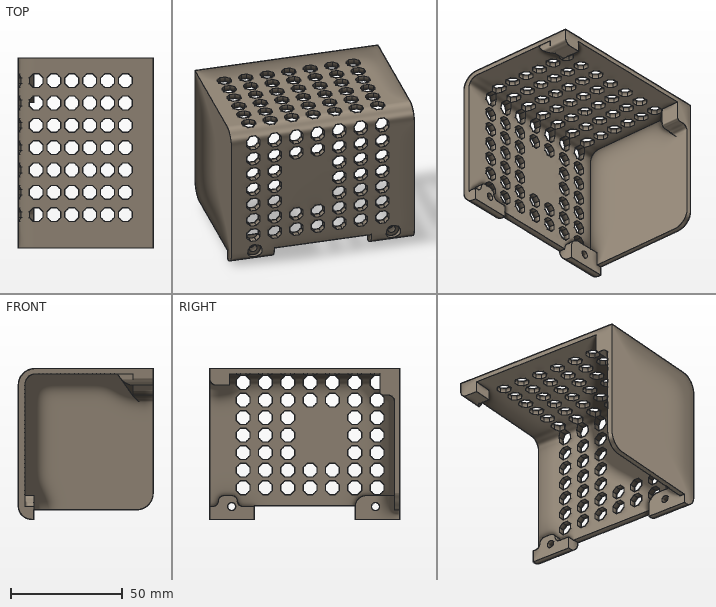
import cadquery as cq
import math

LENGTH = 60.5
WIDTH = 85.18
HEIGHT = 67.65

SIDE_THICKNESS = 3.0
TOP_THICKNESS = 2.4
BACK_THICKNESS = 2.4
BEND_RADIUS = 7.5
INNER_BEND_RADIUS = 5.0
BACK_BOTTOM = 4.3
BACK_CORNER_RADIUS = 7.5

FOOT_LENGTH = 20.0
FOOT_DEPTH = 7.0
FOOT_RADIUS = 6.1
FOOT_FLOOR = 5.8
FOOT_CREST = 10.7
HUMP_FLANK = 5.2
HUMP_START = 1.3

SCREW_DIAMETER = 3.5
SCREW_HEAD_DIAMETER = 6.7
SCREW_HEAD_DEPTH = 3.0
SCREW_HEIGHT = 5.8
FRONT_SCREW_Y = 9.85
BACK_SCREW_Y = WIDTH - 10.9

BOSS_LENGTH = 9.1
BOSS_WIDTH = 9.0
GUSSET_LENGTH = 7.0
GUSSET_HEIGHT = 9.9
FRONT_GUSSET_SETBACK = 0.05
FRONT_BOSS_DEPTH = 7.5
FRONT_BOSS_NOSE_RADIUS = 3.1
BACK_BOSS_DEPTH = 11.9
BACK_BOSS_NOSE_RADIUS = 1.7
BACK_BOSS_ROOT_RADIUS = 3.0

VENT_SIDES = 8
VENT_ACROSS_FLATS = 6.1
VENT_CUT_DEPTH = 8.0
VENT_COLUMNS = 7
VENT_COLUMN_PITCH = 10.0
LAST_VENT_Y = WIDTH - 10.2
TOP_VENT_ROWS = 6
TOP_VENT_PITCH = 8.0
FIRST_TOP_VENT_X = 8.0
SIDE_VENT_ROWS = 7
SIDE_VENT_PITCH = 7.85
FIRST_SIDE_VENT_DROP = 6.3
BLANK_COLUMNS = (2, 3)
BLANK_ROWS = (2, 3, 4)

BOSS_START = LENGTH - BOSS_LENGTH
TOP_UNDERSIDE = HEIGHT - TOP_THICKNESS


def circle_point(center, radius, degrees):
    """Point on a circle at an angle measured from its first axis."""
    angle = math.radians(degrees)
    return (center[0] + radius * math.cos(angle), center[1] + radius * math.sin(angle))


def box(x_range, y_range, z_range):
    """Axis-aligned block between pairs of low and high coordinates."""
    size = [high - low for low, high in (x_range, y_range, z_range)]
    corner = (x_range[0], y_range[0], z_range[0])
    return cq.Workplane("XY").box(*size, centered=False).translate(corner)


def make_panels():
    """Bent sheet forming the side and top panels."""
    side = box((0, SIDE_THICKNESS), (0, WIDTH), (FOOT_RADIUS, HEIGHT))
    top = box((0, LENGTH), (0, WIDTH), (TOP_UNDERSIDE, HEIGHT))
    panels = side.union(top)
    outer_bend = cq.selectors.NearestToPointSelector((0, WIDTH / 2, HEIGHT))
    panels = panels.edges(outer_bend).fillet(BEND_RADIUS)
    inner_bend = cq.selectors.NearestToPointSelector((SIDE_THICKNESS, WIDTH / 2, TOP_UNDERSIDE))
    return panels.edges(inner_bend).fillet(INNER_BEND_RADIUS)


def make_back_wall():
    """Flat wall closing the rear end, inside the side and top panels."""
    wall = box(
        (SIDE_THICKNESS, LENGTH),
        (WIDTH - BACK_THICKNESS, WIDTH),
        (BACK_BOTTOM, TOP_UNDERSIDE),
    )
    return wall.edges("|Y and >X and <Z").fillet(BACK_CORNER_RADIUS)


def foot_section():
    """Mask that rounds the outer lower edge of the feet."""
    section = box((0, FOOT_DEPTH), (0, WIDTH), (0, FOOT_CREST))
    return section.edges("|Y and <X and <Z").fillet(FOOT_RADIUS)


def finish_foot(profile, y_range):
    """Thicken a foot profile behind the panel, extend the panel down over it and round the corner."""
    foot = profile.extrude(FOOT_DEPTH)
    skirt = box((0, SIDE_THICKNESS), y_range, (0, FOOT_RADIUS))
    return foot.union(skirt).intersect(foot_section())


def hump_radius():
    """Radius shared by the crest and root arcs so that they meet tangentially."""
    rise = FOOT_CREST - FOOT_FLOOR
    return (rise**2 + HUMP_FLANK**2) / (4 * rise)


def make_front_foot():
    """Front foot: level floor with a rounded hump over the screw, blended by S-curves."""
    radius = hump_radius()
    crest_start = HUMP_START + HUMP_FLANK
    crest_end = FRONT_SCREW_Y
    hump_end = crest_end + HUMP_FLANK
    root_before = (HUMP_START, FOOT_FLOOR + radius)
    root_after = (hump_end, FOOT_FLOOR + radius)
    inflection_z = (FOOT_FLOOR + FOOT_CREST) / 2
    crest_z = FOOT_CREST - radius
    profile = (
        cq.Workplane("YZ")
        .lineTo(0, FOOT_FLOOR)
        .lineTo(HUMP_START, FOOT_FLOOR)
        .threePointArc(
            circle_point(root_before, radius, -45), (HUMP_START + HUMP_FLANK / 2, inflection_z)
        )
        .threePointArc(
            circle_point((crest_start, crest_z), radius, 135), (crest_start, FOOT_CREST)
        )
        .lineTo(crest_end, FOOT_CREST)
        .threePointArc(
            circle_point((crest_end, crest_z), radius, 45), (crest_end + HUMP_FLANK / 2, inflection_z)
        )
        .threePointArc(circle_point(root_after, radius, 225), (hump_end, FOOT_FLOOR))
        .lineTo(FOOT_LENGTH, FOOT_FLOOR)
        .lineTo(FOOT_LENGTH, 0)
        .close()
    )
    return finish_foot(profile, (0, FOOT_LENGTH))


def make_back_foot():
    """Rear foot: high land beside the back wall, rounded down to its inner end."""
    inner_end = WIDTH - FOOT_LENGTH
    radius = FOOT_CREST - FOOT_FLOOR
    crest_y = inner_end + radius
    profile = (
        cq.Workplane("YZ")
        .moveTo(WIDTH, 0)
        .lineTo(WIDTH, FOOT_CREST)
        .lineTo(crest_y, FOOT_CREST)
        .threePointArc(circle_point((crest_y, FOOT_FLOOR), radius, 135), (inner_end, FOOT_FLOOR))
        .lineTo(inner_end, 0)
        .close()
    )
    return finish_foot(profile, (inner_end, WIDTH))


def make_gusset(corner_y, toward_y):
    """Sloping support that runs from the boss end face into the corner under the top panel."""
    corner = (BOSS_START, corner_y, TOP_UNDERSIDE)
    tip = (BOSS_START - GUSSET_LENGTH, corner_y, TOP_UNDERSIDE)
    side = (BOSS_START, corner_y + toward_y * (BOSS_WIDTH - BACK_THICKNESS), TOP_UNDERSIDE)
    low = (BOSS_START, corner_y, TOP_UNDERSIDE - GUSSET_HEIGHT)
    triangles = ((corner, tip, side), (corner, side, low), (corner, low, tip), (tip, low, side))
    faces = [cq.Face.makeFromWires(cq.Wire.makePolygon(points, close=True)) for points in triangles]
    return cq.Workplane(cq.Solid.makeSolid(cq.Shell.makeShell(faces)))


def add_gusset(profile, gusset):
    """Straight boss at the free edge plus the gusset trimmed to the boss profile."""
    full_length = BOSS_LENGTH + GUSSET_LENGTH
    bar = profile.extrude(full_length).translate((LENGTH - full_length, 0, 0))
    straight = bar.intersect(box((BOSS_START, LENGTH), (0, WIDTH), (0, HEIGHT)))
    return straight.union(bar.intersect(gusset))


def make_front_boss():
    """Boss flush with the front edge, rounded below."""
    bottom = HEIGHT - FRONT_BOSS_DEPTH
    nose_center = (FRONT_BOSS_NOSE_RADIUS, bottom + FRONT_BOSS_NOSE_RADIUS)
    profile = (
        cq.Workplane("YZ")
        .moveTo(0, TOP_UNDERSIDE)
        .lineTo(0, nose_center[1])
        .threePointArc(
            circle_point(nose_center, FRONT_BOSS_NOSE_RADIUS, 225), (nose_center[0], bottom)
        )
        .lineTo(BOSS_WIDTH, bottom)
        .lineTo(BOSS_WIDTH, TOP_UNDERSIDE)
        .close()
    )
    return add_gusset(profile, make_gusset(FRONT_GUSSET_SETBACK, 1))


def make_back_boss():
    """Boss in the corner of the top panel and back wall, with a bevelled end on its root fillet."""
    bottom = HEIGHT - BACK_BOSS_DEPTH
    face_y = WIDTH - BOSS_WIDTH
    wall_y = WIDTH - BACK_THICKNESS
    nose_center = (face_y + BACK_BOSS_NOSE_RADIUS, bottom + BACK_BOSS_NOSE_RADIUS)
    root_center = (wall_y - BACK_BOSS_ROOT_RADIUS, bottom - BACK_BOSS_ROOT_RADIUS)
    profile = (
        cq.Workplane("YZ")
        .moveTo(wall_y, TOP_UNDERSIDE)
        .lineTo(face_y, TOP_UNDERSIDE)
        .lineTo(face_y, nose_center[1])
        .threePointArc(
            circle_point(nose_center, BACK_BOSS_NOSE_RADIUS, 225), (nose_center[0], bottom)
        )
        .lineTo(root_center[0], bottom)
        .threePointArc(
            circle_point(root_center, BACK_BOSS_ROOT_RADIUS, 45), (wall_y, root_center[1])
        )
        .close()
    )
    boss = add_gusset(profile, make_gusset(wall_y, -1))
    root_bottom = bottom - BACK_BOSS_ROOT_RADIUS
    bevel = TOP_UNDERSIDE - GUSSET_HEIGHT - root_bottom
    trim = (
        cq.Workplane("XZ")
        .moveTo(BOSS_START, root_bottom)
        .lineTo(BOSS_START + bevel, root_bottom)
        .lineTo(BOSS_START, root_bottom + bevel)
        .close()
        .extrude(-WIDTH)
    )
    return boss.cut(trim)


def vent_cutter(plane, centers):
    """Octagonal prisms with flats along the plane's axes."""
    corner_radius = VENT_ACROSS_FLATS / 2 / math.cos(math.pi / VENT_SIDES)
    octagon = cq.Sketch().regularPolygon(corner_radius, VENT_SIDES, angle=180 / VENT_SIDES)
    return cq.Workplane(plane).pushPoints(centers).placeSketch(octagon).extrude(VENT_CUT_DEPTH)


def cut_vents(body):
    """Vent grids of the top and side panels; the side grid leaves a blank patch."""
    columns = [LAST_VENT_Y - i * VENT_COLUMN_PITCH for i in range(VENT_COLUMNS)]
    top_centers = [
        (FIRST_TOP_VENT_X + row * TOP_VENT_PITCH, y) for row in range(TOP_VENT_ROWS) for y in columns
    ]
    side_centers = [
        (y, HEIGHT - FIRST_SIDE_VENT_DROP - row * SIDE_VENT_PITCH)
        for row in range(SIDE_VENT_ROWS)
        for column, y in enumerate(columns)
        if not (row in BLANK_ROWS and column in BLANK_COLUMNS)
    ]
    top_cutter = vent_cutter("XY", top_centers).translate((0, 0, HEIGHT - VENT_CUT_DEPTH))
    return body.cut(top_cutter).cut(vent_cutter("YZ", side_centers))


def cut_screw_holes(body):
    """Counterbored screw holes through the feet along X."""
    centers = [(y, SCREW_HEIGHT) for y in (FRONT_SCREW_Y, BACK_SCREW_Y)]
    plane = cq.Workplane("YZ").pushPoints(centers)
    shanks = plane.circle(SCREW_DIAMETER / 2).extrude(FOOT_DEPTH)
    heads = plane.circle(SCREW_HEAD_DIAMETER / 2).extrude(SCREW_HEAD_DEPTH)
    return body.cut(shanks).cut(heads)


def make_part():
    """Join the panels, wall, feet and bosses, then cut the openings."""
    body = make_panels().union(make_back_wall())
    for addition in (make_front_foot(), make_back_foot(), make_front_boss(), make_back_boss()):
        body = body.union(addition)
    return cut_screw_holes(cut_vents(body))


result = make_part()